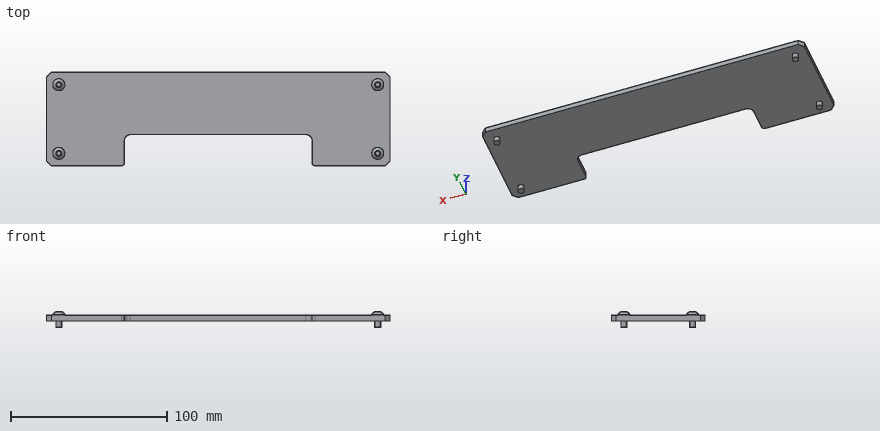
import cadquery as cq
import math

plate_length = 220.0
plate_width = 60.0
plate_thickness = 4.0
corner_chamfer = 3.0

arm_length = 50.0
notch_depth = 20.0
notch_inner_radius = 4.0
notch_outer_radius = 2.0

screw_end_inset = 8.0
screw_spacing_y = 44.0
shank_diameter = 4.0
shank_protrusion = 4.0
head_diameter = 7.7
head_top_diameter = 3.7
head_height = 2.2
head_rim_height = 0.5
socket_diameter = 2.9
socket_depth = 1.3

half_length = plate_length / 2
half_width = plate_width / 2
notch_half_length = half_length - arm_length
notch_floor_y = notch_depth - half_width
shank_radius = shank_diameter / 2
shank_length = plate_thickness + shank_protrusion

screw_centers = [
    (side_x * (half_length - screw_end_inset), side_y * screw_spacing_y / 2)
    for side_x in (-1, 1)
    for side_y in (-1, 1)
]


def vertical_edges_at(body, points):
    """Select the vertical plate edges that stand on the given XY points."""
    margin = 0.2
    edges = body.edges("|Z")
    found = []
    for x, y in points:
        corner_box = cq.selectors.BoxSelector(
            (x - margin, y - margin, 0),
            (x + margin, y + margin, plate_thickness),
        )
        found += edges.edges(corner_box).vals()
    return body.newObject(found)


def make_plate():
    """Flat plate with chamfered corners, a rounded notch and four screw holes."""
    plate = cq.Workplane("XY").box(plate_length, plate_width, plate_thickness, centered=(True, True, False))
    plate = plate.edges("|Z").chamfer(corner_chamfer)

    notch = cq.Workplane("XY").box(
        2 * notch_half_length, notch_depth, plate_thickness, centered=(True, False, False)
    )
    plate = plate.cut(notch.translate((0, -half_width, 0)))

    inner_corners = [(side * notch_half_length, notch_floor_y) for side in (-1, 1)]
    outer_corners = [(side * notch_half_length, -half_width) for side in (-1, 1)]
    plate = vertical_edges_at(plate, inner_corners).fillet(notch_inner_radius)
    plate = vertical_edges_at(plate, outer_corners).fillet(notch_outer_radius)

    holes = cq.Workplane("XY").pushPoints(screw_centers).circle(shank_radius).extrude(plate_thickness)
    return plate.cut(holes)


def make_screw():
    """Screw on the Z axis, with the underside of its domed head at Z = 0."""
    head_radius = head_diameter / 2
    head_top_radius = head_top_diameter / 2

    dome_height = head_height - head_rim_height
    center_above_rim = (head_top_radius**2 + dome_height**2 - head_radius**2) / (2 * dome_height)
    dome_center_z = head_rim_height + center_above_rim
    dome_radius = math.hypot(head_top_radius, head_height - dome_center_z)
    dome_mid_z = head_rim_height + dome_height / 2
    dome_mid_radius = math.sqrt(dome_radius**2 - (dome_mid_z - dome_center_z) ** 2)

    screw = (
        cq.Workplane("XZ")
        .moveTo(0, -shank_length)
        .lineTo(shank_radius, -shank_length)
        .lineTo(shank_radius, 0)
        .lineTo(head_radius, 0)
        .lineTo(head_radius, head_rim_height)
        .threePointArc((dome_mid_radius, dome_mid_z), (head_top_radius, head_height))
        .lineTo(0, head_height)
        .close()
        .revolve(360, (0, 0, 0), (0, 1, 0))
    )

    socket = (
        cq.Workplane("XY", origin=(0, 0, head_height - socket_depth))
        .circle(socket_diameter / 2)
        .extrude(socket_depth)
    )
    return screw.cut(socket)


plate = make_plate()
screw = make_screw()
screws = [screw.translate((x, y, plate_thickness)) for x, y in screw_centers]

result = cq.Compound.makeCompound([plate.val(), *[placed.val() for placed in screws]])